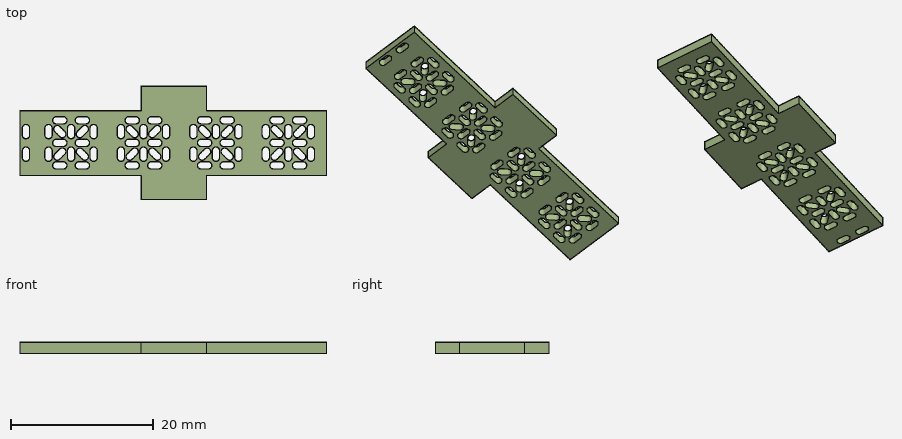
import cadquery as cq

strip_length = 43.05
strip_width = 9.13
thickness = 1.6

block_length = 9.2
block_width = 15.95
block_x = 0.1
strip_y = -0.05

slot_length = 2.0
slot_width = 1.0
pattern_size = 6.33
cell = pattern_size / 2
half_cell = cell / 2

pattern_count = 4
pattern_pitch = 10.15
first_pattern_x = -14.35


def cut_slots(body, centres, angle):
    """Cut round-ended slots through the plate, their long axis at angle to X."""
    cutter = (
        cq.Workplane("XY")
        .pushPoints(centres)
        .slot2D(slot_length, slot_width, angle)
        .extrude(thickness)
    )
    return body.cut(cutter)


def cut_pattern(body, x):
    """Cut one grid of slots centred at x on the X axis."""
    grid_lines = (-cell, 0, cell)
    cell_middles = (-half_cell, half_cell)
    along_x = [(x + dx, dy) for dx in cell_middles for dy in grid_lines]
    along_y = [(x + dx, dy) for dx in grid_lines for dy in cell_middles]
    rising = [(x + d, d) for d in cell_middles]
    falling = [(x + d, -d) for d in cell_middles]
    body = cut_slots(body, along_x, 0)
    body = cut_slots(body, along_y, 90)
    body = cut_slots(body, rising, 45)
    return cut_slots(body, falling, -45)


strip = cq.Workplane("XY").center(0, strip_y).rect(strip_length, strip_width).extrude(thickness)
block = cq.Workplane("XY").center(block_x, 0).rect(block_length, block_width).extrude(thickness)
plate = strip.union(block)

for index in range(pattern_count):
    plate = cut_pattern(plate, first_pattern_x + index * pattern_pitch)

end_slot_x = first_pattern_x - 2 * cell
result = cut_slots(plate, [(end_slot_x, -half_cell), (end_slot_x, half_cell)], 90)